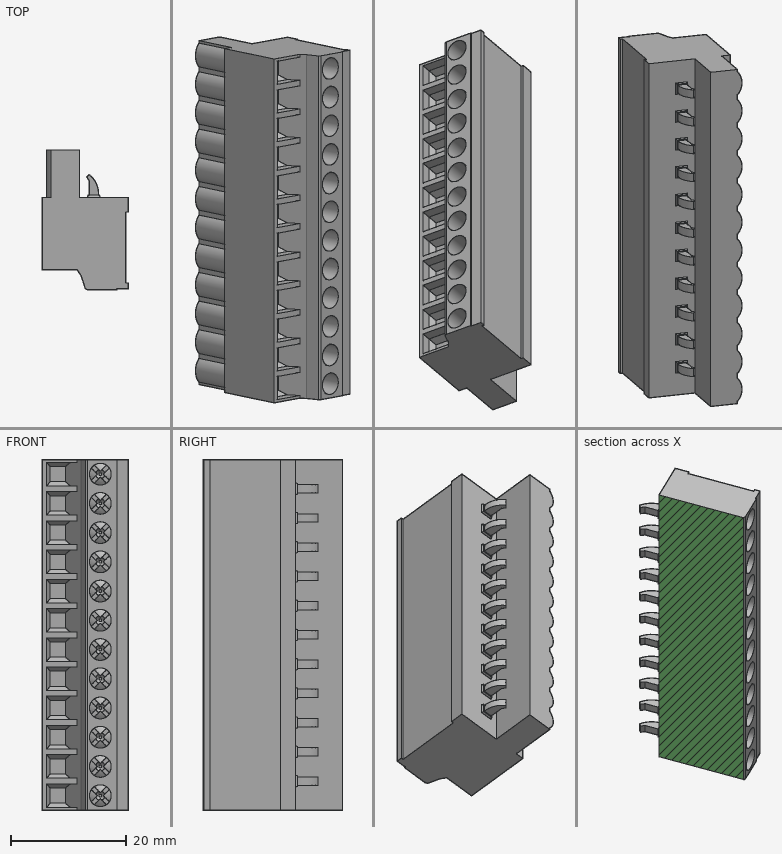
import cadquery as cq
import math

height = 60.95
width = 15.0
depth = 24.3
poles = 12
pitch = height / poles
pole_heights = [(i + 0.5) * pitch for i in range(poles)]
gap_heights = [i * pitch for i in range(1, poles)]

shoulder_y = 16.1
wire_face_x = 6.1
wire_face_y = 3.5
slope_end_x = 6.75
slope_end_y = 2.45
chamfer_x = 7.5
screw_face_x = 7.9
screw_face_end_x = 13.0
edge_step = 0.2
recess_depth = 0.4
recess_start_y = 1.2
recess_end_y = 13.55

plug_x = 1.6
plug_end_x = 6.5
rib_chord = 4.2
rib_rise = 0.85

entry_x = 0.8
entry_height = 4.1
taper_y = 5.35
floor_x = 1.4
floor_y = 6.65
floor_height = 2.6

screw_x = 10.1
screw_diameter = 3.8
head_rim_y = 4.9
dome_rise = 0.6
slot_width = 0.75
slot_depth = 0.75
socket_diameter = 1.6
socket_floor_diameter = 0.5
socket_depth = 0.75

hook_height = 1.45
hook_x = 8.15
hook_end_x = 9.8
hook_neck_y = 18.95
hook_nose_x = 7.75
hook_nose_y = 19.6
hook_tip_x = 8.15
hook_tip_y = 20.05
hook_curve_x = 9.4
hook_curve_y = 18.6
foot_depth = 0.35
foot_margin = 0.2
foot_flare = 0.1

overlap = 0.3


def make_housing():
    profile = [
        (0, wire_face_y),
        (wire_face_x, wire_face_y),
        (slope_end_x, slope_end_y),
        (chamfer_x, edge_step),
        (screw_face_x, 0),
        (screw_face_end_x, 0),
        (screw_face_end_x, edge_step),
        (width, edge_step),
        (width, recess_start_y),
        (width - recess_depth, recess_start_y),
        (width - recess_depth, recess_end_y),
        (width, recess_end_y),
        (width, shoulder_y),
        (plug_end_x, shoulder_y),
        (plug_end_x, depth),
        (plug_x, depth),
        (plug_x, shoulder_y),
        (0, shoulder_y),
    ]
    return cq.Workplane("XY").polyline(profile).close().extrude(height)


def make_plug_rib():
    """Rounded rib on the -X side of the plug block, centred on Z = 0."""
    half = rib_chord / 2
    return (
        cq.Workplane("XZ", origin=(0, depth, 0))
        .moveTo(plug_x + overlap, -half)
        .lineTo(plug_x, -half)
        .threePointArc((plug_x - rib_rise, 0), (plug_x, half))
        .lineTo(plug_x + overlap, half)
        .close()
        .extrude(depth - shoulder_y + overlap)
    )


def make_wire_entry():
    """Cutter for a tapered pocket, closed on its +X side by the inward-running slope."""
    slope_run = (slope_end_x - wire_face_x) / (wire_face_y - slope_end_y)
    slope_floor_x = wire_face_x - (floor_y - wire_face_y) * slope_run
    entry_width = slope_end_x - entry_x
    floor_width = slope_end_x - floor_x
    mouth = (
        cq.Workplane("XZ", origin=(entry_x + entry_width / 2, slope_end_y, 0))
        .rect(entry_width, entry_height)
        .extrude(slope_end_y - taper_y)
    )
    taper = (
        cq.Workplane("XZ", origin=(entry_x + entry_width / 2, taper_y, 0))
        .rect(entry_width, entry_height)
        .workplane(offset=taper_y - floor_y)
        .center((floor_x - entry_x) / 2, 0)
        .rect(floor_width, floor_height)
        .loft(combine=True)
    )
    slope_side = (
        cq.Workplane("XY")
        .polyline([
            (0, slope_end_y),
            (slope_end_x, slope_end_y),
            (slope_floor_x, floor_y),
            (0, floor_y),
        ])
        .close()
        .extrude(entry_height, both=True)
    )
    return mouth.union(taper).intersect(slope_side)


def make_screw_hole():
    """Cutter for a round bore that leaves a domed, cross-slotted screw head."""
    radius = screw_diameter / 2
    dome_y = head_rim_y - dome_rise
    dome_radius = (radius**2 + dome_rise**2) / (2 * dome_rise)
    arc_x = radius / 2
    arc_y = dome_y + dome_radius - math.sqrt(dome_radius**2 - arc_x**2)
    slot_floor_y = dome_y + slot_depth
    bore = (
        cq.Workplane("XY")
        .lineTo(radius, 0)
        .lineTo(radius, head_rim_y)
        .threePointArc((arc_x, arc_y), (0, dome_y))
        .close()
        .revolve(360, (0, 0, 0), (0, 1, 0))
    )
    recess = (
        cq.Workplane("XZ")
        .circle(radius)
        .extrude(-slot_floor_y)
        .faces(">Y")
        .workplane()
        .circle(socket_diameter / 2)
        .workplane(offset=socket_depth)
        .circle(socket_floor_diameter / 2)
        .loft(combine=True)
    )
    bar_depth = slot_floor_y + socket_depth
    cross = (
        cq.Workplane("XZ")
        .rect(screw_diameter, slot_width)
        .extrude(-bar_depth)
        .union(cq.Workplane("XZ").rect(slot_width, screw_diameter).extrude(-bar_depth))
        .rotate((0, 0, 0), (0, 1, 0), 45)
        .intersect(recess)
    )
    return bore.union(cross).translate((screw_x, 0, 0))


def make_latch_hook():
    """Curved finger on a low flared foot, centred on Z = 0."""
    foot_top_y = shoulder_y + foot_depth
    foot_width = hook_end_x - hook_x + 2 * foot_margin
    foot_height = hook_height + 2 * foot_margin
    foot = (
        cq.Workplane("XZ", origin=((hook_x + hook_end_x) / 2, shoulder_y, 0))
        .rect(foot_width + 2 * foot_flare, foot_height + 2 * foot_flare)
        .workplane(offset=-foot_depth)
        .rect(foot_width, foot_height)
        .loft(combine=True)
    )
    finger = (
        cq.Workplane("XY")
        .moveTo(hook_x, shoulder_y - overlap)
        .lineTo(hook_x, hook_neck_y)
        .lineTo(hook_nose_x, hook_nose_y)
        .lineTo(hook_tip_x, hook_tip_y)
        .threePointArc((hook_curve_x, hook_curve_y), (hook_end_x, foot_top_y))
        .lineTo(hook_end_x, shoulder_y - overlap)
        .close()
        .extrude(hook_height / 2, both=True)
    )
    return foot.union(finger)


def copies(shape, heights):
    """One compound holding a copy of the shape at each height."""
    solid = shape.val()
    return cq.Compound.makeCompound([solid.translate(cq.Vector(0, 0, z)) for z in heights])


result = (
    make_housing()
    .union(cq.Workplane(copies(make_plug_rib(), pole_heights)))
    .union(cq.Workplane(copies(make_latch_hook(), gap_heights)))
    .cut(cq.Workplane(copies(make_wire_entry(), pole_heights)))
    .cut(cq.Workplane(copies(make_screw_hole(), pole_heights)))
)